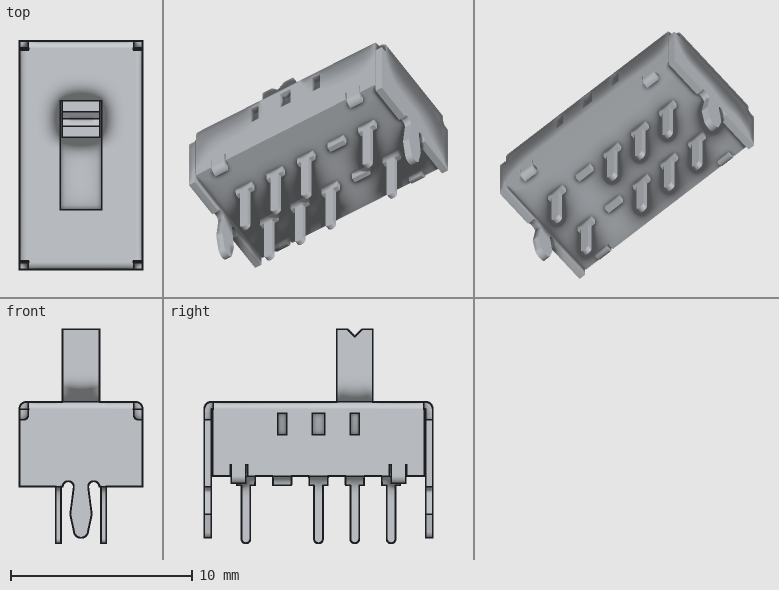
import cadquery as cq
import math


COVER_X = 6.8
COVER_Y = 12.6
COVER_TOP = 4.68
SHEET = 0.4
SIDE_BOTTOM = COVER_TOP - 4.1
END_GAP = 0.05
SIDE_HALF_Y = COVER_Y / 2 - SHEET - END_GAP
BEND_Z = COVER_TOP - SHEET

RELIEF = 0.5
RELIEF_DEPTH = 1.0
RELIEF_RADIUS = 0.3

WINDOW_TOP = COVER_TOP - 0.62
WINDOW_HEIGHT = 1.2
CENTRE_WINDOW_Y = 0.7
OUTER_WINDOW_Y = 0.5

TAB_INNER_Y = 4.0
TAB_OUTER_Y = 4.82
INNER_SLIT = 0.1
OUTER_SLIT = 0.05
SLIT_TOP = COVER_TOP - 3.48

LEG_NECK_HALF = 0.4
LEG_BULGE_HALF = 0.6
LEG_BULGE_Z = COVER_TOP - 6.2
LEG_TIP_HALF = 0.4
LEG_TIP_START_Z = COVER_TOP - 7.12
LEG_BOTTOM = COVER_TOP - 7.5
LEG_NOTCH_RADIUS = 0.3

SLOT_X = 2.3
SLOT_Y = 6.0
KNOB_X = 2.05
KNOB_Y = 2.0
KNOB_CENTRE_Y = (SLOT_Y - KNOB_Y) / 2
KNOB_TOP = COVER_TOP + 4.0
KNOB_NOTCH = 0.4

PITCH = 2.0
ROW_X = 1.25
SHOULDER_STEPS = (-2, -1, 0, 1, 2)
PIN_STEPS = (-2, 0, 1, 2)
PIN_X = 0.3
PIN_Y = 0.5
PIN_BOTTOM = COVER_TOP - 7.8
SHOULDER_TOP_Y = 1.05
SHOULDER_BOTTOM_Y = 1.02
SHOULDER_BOTTOM = COVER_TOP - 4.6


def block(size_x, size_y, bottom, top, x=0, y=0):
    """Box centred on (x, y) between two heights."""
    base = cq.Workplane("XY", origin=(x, y, bottom))
    return base.box(size_x, size_y, top - bottom, centered=(True, True, False))


def both_sides(body, plane):
    """Body together with its mirror image."""
    return body.union(body.mirror(plane))


def quarter_round(plane, centre, vertical_sign, length):
    """Bend of one sheet thickness, bulging outward and up (+1) or down (-1), centred along its length."""
    h, v = centre
    diagonal = SHEET * math.sqrt(0.5)
    return (
        cq.Workplane(plane)
        .moveTo(h, v)
        .lineTo(h + SHEET, v)
        .threePointArc((h + diagonal, v + vertical_sign * diagonal), (h, v + vertical_sign * SHEET))
        .close()
        .extrude(length / 2, both=True)
    )


def make_housing():
    """Moulded core that fills the cover."""
    return block(COVER_X - 2 * SHEET, 2 * SIDE_HALF_Y, SIDE_BOTTOM, BEND_Z)


def make_top_plate():
    """Flat top sheet with the slider slot and the four corner reliefs."""
    plate = block(COVER_X - 2 * SHEET, COVER_Y - 2 * SHEET, BEND_Z, COVER_TOP)
    plate = plate.cut(block(SLOT_X, SLOT_Y, BEND_Z, COVER_TOP))
    for side_x in (-1, 1):
        for side_y in (-1, 1):
            corner_x = side_x * COVER_X / 2
            corner_y = side_y * COVER_Y / 2
            plate = plate.cut(block(2 * RELIEF, 2 * RELIEF, BEND_Z, COVER_TOP, corner_x, corner_y))
    return plate


def make_clinch_tab():
    """Lower edge of the +X side wall, bent under the housing."""
    centre_y = (TAB_INNER_Y + TAB_OUTER_Y) / 2
    tab = quarter_round("XZ", (COVER_X / 2 - SHEET, SIDE_BOTTOM), -1, TAB_OUTER_Y - TAB_INNER_Y)
    return tab.translate((0, centre_y, 0))


def make_side_wall():
    """+X side wall with its top bend, windows and clinch tabs."""
    wall_x = (COVER_X - SHEET) / 2
    wall = block(SHEET, 2 * SIDE_HALF_Y, SIDE_BOTTOM, BEND_Z, x=wall_x)
    for step, width in ((-1, OUTER_WINDOW_Y), (0, CENTRE_WINDOW_Y), (1, OUTER_WINDOW_Y)):
        wall = wall.cut(block(SHEET, width, WINDOW_TOP - WINDOW_HEIGHT, WINDOW_TOP, wall_x, step * PITCH))
    for side in (-1, 1):
        inner_y = side * (TAB_INNER_Y - INNER_SLIT / 2)
        outer_y = side * (TAB_OUTER_Y + OUTER_SLIT / 2)
        wall = wall.cut(block(SHEET, INNER_SLIT, SIDE_BOTTOM, SLIT_TOP, wall_x, inner_y))
        wall = wall.cut(block(SHEET, OUTER_SLIT, SIDE_BOTTOM, SLIT_TOP, wall_x, outer_y))
    top_bend = quarter_round("XZ", (COVER_X / 2 - SHEET, BEND_Z), 1, COVER_Y - 2 * RELIEF)
    return wall.union(top_bend).union(both_sides(make_clinch_tab(), "XZ"))


def make_leg(inner_y):
    """Snap-in leg: narrow neck, bulge and round tip."""
    return (
        cq.Workplane("XZ", origin=(0, inner_y, 0))
        .moveTo(-LEG_NECK_HALF, LEG_NOTCH_RADIUS)
        .lineTo(-LEG_NECK_HALF, 0)
        .lineTo(-LEG_BULGE_HALF, LEG_BULGE_Z)
        .lineTo(-LEG_TIP_HALF, LEG_TIP_START_Z)
        .threePointArc((0, LEG_BOTTOM), (LEG_TIP_HALF, LEG_TIP_START_Z))
        .lineTo(LEG_BULGE_HALF, LEG_BULGE_Z)
        .lineTo(LEG_NECK_HALF, 0)
        .lineTo(LEG_NECK_HALF, LEG_NOTCH_RADIUS)
        .close()
        .extrude(-SHEET)
    )


def make_corner_relief(inner_y):
    """Cutter for the +X upper corner of an end plate."""
    relief = block(2 * RELIEF, SHEET, COVER_TOP - RELIEF_DEPTH, COVER_TOP, COVER_X / 2, inner_y + SHEET / 2)
    return relief.edges("|Y and <X and <Z").fillet(RELIEF_RADIUS)


def make_end_plate():
    """+Y end plate with its top bend, corner reliefs and snap-in leg."""
    inner_y = COVER_Y / 2 - SHEET
    plate = block(COVER_X, SHEET, 0, BEND_Z, y=inner_y + SHEET / 2)
    plate = plate.union(quarter_round("YZ", (inner_y, BEND_Z), 1, COVER_X))
    plate = plate.cut(both_sides(make_corner_relief(inner_y), "YZ"))
    notch_x = LEG_NECK_HALF + LEG_NOTCH_RADIUS
    notches = (
        cq.Workplane("XZ", origin=(0, inner_y, 0))
        .pushPoints([(-notch_x, 0), (notch_x, 0)])
        .circle(LEG_NOTCH_RADIUS)
        .extrude(-SHEET)
    )
    return plate.cut(notches).union(make_leg(inner_y))


def make_knob():
    """Slider handle with a V groove across its top."""
    knob = block(KNOB_X, KNOB_Y, BEND_Z, KNOB_TOP, y=KNOB_CENTRE_Y)
    groove = (
        cq.Workplane("YZ")
        .moveTo(KNOB_CENTRE_Y - KNOB_NOTCH, KNOB_TOP)
        .lineTo(KNOB_CENTRE_Y, KNOB_TOP - KNOB_NOTCH)
        .lineTo(KNOB_CENTRE_Y + KNOB_NOTCH, KNOB_TOP)
        .close()
        .extrude(KNOB_X / 2, both=True)
    )
    return knob.cut(groove)


def make_shoulder(y):
    """Tapered shoulder of a terminal in the +X row, just below the housing."""
    return (
        cq.Workplane("YZ", origin=(ROW_X, y, 0))
        .moveTo(-SHOULDER_TOP_Y / 2, SIDE_BOTTOM)
        .lineTo(-SHOULDER_BOTTOM_Y / 2, SHOULDER_BOTTOM)
        .lineTo(SHOULDER_BOTTOM_Y / 2, SHOULDER_BOTTOM)
        .lineTo(SHOULDER_TOP_Y / 2, SIDE_BOTTOM)
        .close()
        .extrude(PIN_X / 2, both=True)
    )


def make_pin(y):
    """Flat terminal pin with a full-round tip in the +X row."""
    radius = PIN_Y / 2
    return (
        cq.Workplane("YZ", origin=(ROW_X, y, 0))
        .moveTo(-radius, SIDE_BOTTOM)
        .lineTo(-radius, PIN_BOTTOM + radius)
        .threePointArc((0, PIN_BOTTOM), (radius, PIN_BOTTOM + radius))
        .lineTo(radius, SIDE_BOTTOM)
        .close()
        .extrude(PIN_X / 2, both=True)
    )


result = make_housing().union(make_top_plate())
result = result.union(both_sides(make_side_wall(), "YZ"))
result = result.union(both_sides(make_end_plate(), "XZ"))
result = result.union(make_knob())
for step in SHOULDER_STEPS:
    result = result.union(both_sides(make_shoulder(step * PITCH), "YZ"))
for step in PIN_STEPS:
    result = result.union(both_sides(make_pin(step * PITCH), "YZ"))